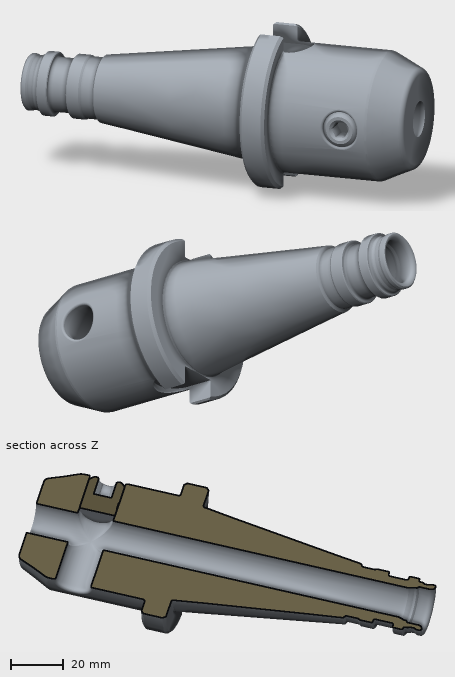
import cadquery as cq
import math

LENGTH = 156.4

THREAD_RADIUS = 11.0
RELIEF_RADIUS = 10.5
TAIL_CHAMFER = 0.6
RELIEF_START = 2.0
RELIEF_END = 4.5
RELIEF_SLOPE = 1.0
COLLAR_RADIUS = 12.4
COLLAR_START = 6.9
GROOVE_START = 11.1
GROOVE_END = 18.8
GROOVE_RADIUS = 10.5
ROOT_FILLET = 0.6
COLLAR_END = 23.8
COLLAR_EDGE_CHAMFER = 0.3
COLLAR_RUNOUT = 0.8
NECK_RADIUS = 11.9
NECK_END = 29.4

TAPER_RATIO = 7 / 24
GAUGE_RADIUS = 22.4
GAUGE_X = 94.0
TAPER_START = 30.2
taper_start_radius = GAUGE_RADIUS - (GAUGE_X - TAPER_START) * TAPER_RATIO / 2

FLANGE_RADIUS = 31.5
FLANGE_START = 95.0
FLANGE_WIDTH = 9.9
FLANGE_ROOT_FILLET = 0.5
FLANGE_CHAMFER = 1.1
flange_end = FLANGE_START + FLANGE_WIDTH

NOSE_RADIUS = 25.0
NOSE_ROOT_FILLET = 0.8
CONE_START = 143.4
CONE_ANGLE = 25.0
CONE_EDGE_FILLET = 2.3
FRONT_EDGE_FILLET = 2.3
front_radius = NOSE_RADIUS - (LENGTH - CONE_START) * math.tan(math.radians(CONE_ANGLE))

SLOT_WIDTH = 16.5
SLOT_FLOOR = 22.5
SLOT_END = 113.9
SLOT_CHAMFER = 0.8

EDGE_TOLERANCE = 0.08

BORE_RADIUS = 6.9
MOUTH_RADIUS = 8.5
MOUTH_FILLET = 1.9
MOUTH_DEPTH = 6.1
STEP_RADIUS = 7.7
STEP_START = 6.9
STEP_END = 7.8
BORE_START = 9.9

SCREW_X = 133.1
SCREW_RADIUS = 6.9
SCREW_HOLE_FILLET = 0.8
screw_head_y = -NOSE_RADIUS
SCREW_LENGTH = 15.6
SCREW_CHAMFER = 1.5
HEX_ACROSS_FLATS = 6.0
HEX_DEPTH = 7.8
HEX_MOUTH_RADIUS = 4.0
HEX_MOUTH_DEPTH = 2.3
HEX_MOUTH_ANGLE = 45.0
hex_across_corners = HEX_ACROSS_FLATS / math.cos(math.radians(30))


def turned_blank():
    """Solid of revolution for the shank, taper, flange and nose."""
    profile = [
        (0, 0),
        (0, THREAD_RADIUS - TAIL_CHAMFER),
        (TAIL_CHAMFER, THREAD_RADIUS),
        (RELIEF_START, THREAD_RADIUS),
        (RELIEF_START + RELIEF_SLOPE, RELIEF_RADIUS),
        (RELIEF_END, RELIEF_RADIUS),
        (RELIEF_END + RELIEF_SLOPE, THREAD_RADIUS),
        (COLLAR_START, THREAD_RADIUS),
        (COLLAR_START, COLLAR_RADIUS - COLLAR_EDGE_CHAMFER),
        (COLLAR_START + COLLAR_EDGE_CHAMFER, COLLAR_RADIUS),
        (GROOVE_START - COLLAR_EDGE_CHAMFER, COLLAR_RADIUS),
        (GROOVE_START, COLLAR_RADIUS - COLLAR_EDGE_CHAMFER),
        (GROOVE_START, GROOVE_RADIUS),
        (GROOVE_END, GROOVE_RADIUS),
        (GROOVE_END, COLLAR_RADIUS - COLLAR_EDGE_CHAMFER),
        (GROOVE_END + COLLAR_EDGE_CHAMFER, COLLAR_RADIUS),
        (COLLAR_END, COLLAR_RADIUS),
        (COLLAR_END + COLLAR_RUNOUT, NECK_RADIUS),
        (NECK_END, NECK_RADIUS),
        (TAPER_START, taper_start_radius),
        (GAUGE_X, GAUGE_RADIUS),
        (FLANGE_START, GAUGE_RADIUS),
        (FLANGE_START, FLANGE_RADIUS - FLANGE_CHAMFER),
        (FLANGE_START + FLANGE_CHAMFER, FLANGE_RADIUS),
        (flange_end - FLANGE_CHAMFER, FLANGE_RADIUS),
        (flange_end, FLANGE_RADIUS - FLANGE_CHAMFER),
        (flange_end, NOSE_RADIUS),
        (CONE_START, NOSE_RADIUS),
        (LENGTH, front_radius),
        (LENGTH, 0),
    ]
    return cq.Workplane("XZ").polyline(profile).close().revolve(360, (0, 0, 0), (1, 0, 0))


def edge_ring(x, radius):
    """Selector for the circular edge about the X axis at a station and radius."""
    return cq.selectors.BoxSelector(
        (x - EDGE_TOLERANCE, -radius - EDGE_TOLERANCE, -radius - EDGE_TOLERANCE),
        (x + EDGE_TOLERANCE, radius + EDGE_TOLERANCE, radius + EDGE_TOLERANCE),
        boundingbox=True,
    )


def round_rings(body):
    """Fillets on the roots beside the collars and flange and on the two front edges."""
    body = body.edges(edge_ring(COLLAR_START, THREAD_RADIUS)).fillet(ROOT_FILLET)
    for x in (GROOVE_START, GROOVE_END):
        body = body.edges(edge_ring(x, GROOVE_RADIUS)).fillet(ROOT_FILLET)
    body = body.edges(edge_ring(FLANGE_START, GAUGE_RADIUS)).fillet(FLANGE_ROOT_FILLET)
    body = body.edges(edge_ring(flange_end, NOSE_RADIUS)).fillet(NOSE_ROOT_FILLET)
    body = body.edges(edge_ring(CONE_START, NOSE_RADIUS)).fillet(CONE_EDGE_FILLET)
    return body.edges(edge_ring(LENGTH, front_radius)).fillet(FRONT_EDGE_FILLET)


def bore():
    """Through bore with a rounded mouth and two conical steps at the shank end."""
    return (
        cq.Workplane("XZ")
        .moveTo(0, 0)
        .lineTo(0, MOUTH_RADIUS + MOUTH_FILLET)
        .radiusArc((MOUTH_FILLET, MOUTH_RADIUS), -MOUTH_FILLET)
        .lineTo(MOUTH_DEPTH, MOUTH_RADIUS)
        .lineTo(STEP_START, STEP_RADIUS)
        .lineTo(STEP_END, STEP_RADIUS)
        .lineTo(BORE_START, BORE_RADIUS)
        .lineTo(LENGTH, BORE_RADIUS)
        .lineTo(LENGTH, 0)
        .close()
        .revolve(360, (0, 0, 0), (1, 0, 0))
    )


def drive_slot(side):
    """Cutter for one drive slot; side is +1 for the +Z slot and -1 for the -Z slot."""
    half_width = SLOT_WIDTH / 2
    arc_center = SLOT_END - half_width
    return (
        cq.Workplane("XY", origin=(0, 0, side * SLOT_FLOOR))
        .moveTo(GAUGE_X, -half_width)
        .lineTo(arc_center, -half_width)
        .threePointArc((SLOT_END, 0), (arc_center, half_width))
        .lineTo(GAUGE_X, half_width)
        .close()
        .extrude(side * FLANGE_RADIUS)
    )


def chamfer_slot_edges(body):
    """Chamfers where the slot walls meet the flange rim."""
    edge_height = math.sqrt(FLANGE_RADIUS**2 - (SLOT_WIDTH / 2) ** 2)
    rim_middle = FLANGE_START + FLANGE_WIDTH / 2
    for y in (SLOT_WIDTH / 2, -SLOT_WIDTH / 2):
        for z in (edge_height, -edge_height):
            body = body.edges(cq.selectors.NearestToPointSelector((rim_middle, y, z))).chamfer(SLOT_CHAMFER)
    return body


def cross_hole():
    """Cutter for the screw hole that crosses the nose along Y."""
    return (
        cq.Workplane("XZ", origin=(SCREW_X, 0, 0))
        .circle(SCREW_RADIUS)
        .extrude(FLANGE_RADIUS, both=True)
    )


def round_cross_hole(body):
    """Fillets on the outer rims of the screw hole."""
    for y in (NOSE_RADIUS, -NOSE_RADIUS):
        rim = cq.selectors.NearestToPointSelector((SCREW_X, y, 0))
        body = body.edges(rim).fillet(SCREW_HOLE_FILLET)
    return body


def make_holder():
    """Turned holder with cross hole, drive slots and bore."""
    body = round_rings(turned_blank())
    body = round_cross_hole(body.cut(cross_hole()))
    for side in (1, -1):
        body = body.cut(drive_slot(side))
    body = chamfer_slot_edges(body)
    return body.cut(bore())


def make_screw():
    """Hex-socket clamping screw, head face towards -Y."""
    head = cq.Workplane("XZ", origin=(SCREW_X, screw_head_y, 0))
    shank = head.circle(SCREW_RADIUS).extrude(-SCREW_LENGTH)
    shank = shank.faces("<Y").chamfer(SCREW_CHAMFER)
    socket = head.polygon(6, hex_across_corners).extrude(-HEX_DEPTH)
    countersink = head.circle(HEX_MOUTH_RADIUS).extrude(-HEX_MOUTH_DEPTH, taper=HEX_MOUTH_ANGLE)
    return shank.cut(socket).cut(countersink)


holder = make_holder()
screw = make_screw()
result = cq.Compound.makeCompound([holder.val(), screw.val()])